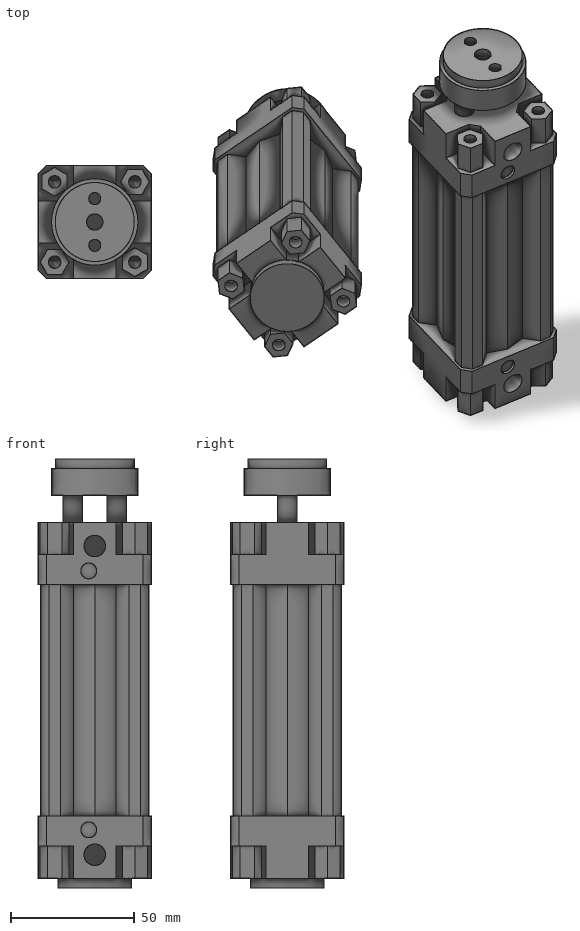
import cadquery as cq
import math

total_height = 174.0
boss_height = 4.0
head_height = 25.2
rod_exposed_length = 11.0
disc_height = 10.8
disc_rim_height = 4.0
head_top = total_height - disc_rim_height - disc_height - rod_exposed_length
middle_z = (boss_height + head_top) / 2

head_width = 46.0
head_chamfer = 3.5
boss_diameter = 30.0
cross_arm_width = 17.0
notch_depth = 13.0
notch_corner_chamfer = 3.5

nut_spacing = 32.5
nut_offset = nut_spacing / 2
nut_across_flats = 10.1
nut_across_corners = nut_across_flats / math.cos(math.pi / 6)
nut_hole_diameter = 5.0
nut_hole_depth = 8.7
drill_point_angle = 118.0

port_diameter = 8.7
port_depth = 13.0
port_inset = 9.5
screw_diameter = 6.5
screw_depth = 1.2
screw_inset = 19.7
screw_x = -2.5

barrel_half_width = 22.0
pillar_chamfer = 3.3
pillar_inner_edge = 14.0
valley_depth = 5.4
ridge_half_width = pillar_inner_edge - valley_depth
valley_distance = barrel_half_width - valley_depth
ridge_distance = 19.0

rod_diameter = 8.0
rod_spacing = 17.7
disc_diameter = 35.0
disc_rim_diameter = 32.0
disc_center_hole_diameter = 6.6
disc_side_hole_diameter = 4.9
disc_side_hole_spacing = 19.0
disc_hole_depth = disc_rim_height + disc_height / 2

quarter_turns = [0, 90, 180, 270]


def rotate_about_z(point, angle):
    """Turn a 2D point about the origin by an angle in degrees."""
    x, y = point
    turn = math.radians(angle)
    return (
        x * math.cos(turn) - y * math.sin(turn),
        x * math.sin(turn) + y * math.cos(turn),
    )


def make_barrel():
    """Barrel between the heads, one wall outline repeated on four sides."""
    pillar_outer_edge = barrel_half_width - pillar_chamfer
    wall_points = [
        (-pillar_outer_edge, -barrel_half_width),
        (-pillar_inner_edge, -barrel_half_width),
        (-ridge_half_width, -valley_distance),
        (0, -ridge_distance),
        (ridge_half_width, -valley_distance),
        (pillar_inner_edge, -barrel_half_width),
        (pillar_outer_edge, -barrel_half_width),
    ]
    outline = [rotate_about_z(p, angle) for angle in quarter_turns for p in wall_points]
    barrel_height = head_top - boss_height - 2 * head_height
    return (
        cq.Workplane("XY", origin=(0, 0, boss_height + head_height))
        .polyline(outline)
        .close()
        .extrude(barrel_height)
    )


def make_corner_notch():
    """Cutter for the notch in the +X +Y corner, with a chamfered inner corner."""
    inner = cross_arm_width / 2
    size = head_width / 2 - inner
    return (
        cq.Workplane("XY", origin=(inner, inner, head_top - notch_depth))
        .rect(size, size, centered=False)
        .extrude(notch_depth)
        .edges("|Z and <X and <Y")
        .chamfer(notch_corner_chamfer)
    )


def make_nut():
    """Hexagonal nut in the +X +Y corner, with corners pointing along X."""
    return (
        cq.Workplane("XY", origin=(nut_offset, nut_offset, head_top - notch_depth))
        .polygon(6, nut_across_corners)
        .extrude(notch_depth)
    )


def make_nut_hole():
    """Drilled hole with a conical bottom, centred on the +X +Y nut."""
    radius = nut_hole_diameter / 2
    point_height = radius / math.tan(math.radians(drill_point_angle / 2))
    return (
        cq.Workplane("XZ")
        .polyline([
            (0, 0),
            (radius, 0),
            (radius, -nut_hole_depth),
            (0, -nut_hole_depth - point_height),
        ])
        .close()
        .revolve(360, (0, 0, 0), (0, 1, 0))
        .translate((nut_offset, nut_offset, head_top))
    )


def make_front_hole(x, z, diameter, depth):
    """Cutter for a flat-bottomed hole running inward from the -Y face."""
    return (
        cq.Workplane("XZ", origin=(x, -head_width / 2, z))
        .circle(diameter / 2)
        .extrude(-depth)
    )


def make_upper_head():
    """Upper head with corner notches, nuts, port and screw recess."""
    head = (
        cq.Workplane("XY", origin=(0, 0, head_top - head_height))
        .rect(head_width, head_width)
        .extrude(head_height)
        .edges("|Z")
        .chamfer(head_chamfer)
    )
    origin = (0, 0, 0)
    z_axis_end = (0, 0, 1)
    for angle in quarter_turns:
        head = head.cut(make_corner_notch().rotate(origin, z_axis_end, angle))
        head = head.union(make_nut().rotate(origin, z_axis_end, angle))
        head = head.cut(make_nut_hole().rotate(origin, z_axis_end, angle))
    head = head.cut(make_front_hole(0, head_top - port_inset, port_diameter, port_depth))
    return head.cut(make_front_hole(screw_x, head_top - screw_inset, screw_diameter, screw_depth))


def make_housing():
    """Barrel with mirrored heads at both ends and a round boss at the bottom."""
    upper_head = make_upper_head()
    lower_head = upper_head.mirror("XY", (0, 0, middle_z))
    boss = cq.Workplane("XY").circle(boss_diameter / 2).extrude(boss_height)
    return make_barrel().union(upper_head).union(lower_head).union(boss)


def make_plunger():
    """Two rods standing on the upper head, carrying a stepped disc with three holes."""
    rods = (
        cq.Workplane("XY", origin=(0, 0, head_top))
        .pushPoints([(-rod_spacing / 2, 0), (rod_spacing / 2, 0)])
        .circle(rod_diameter / 2)
        .extrude(rod_exposed_length)
    )
    disc = (
        cq.Workplane("XY", origin=(0, 0, head_top + rod_exposed_length))
        .circle(disc_diameter / 2)
        .extrude(disc_height)
        .faces(">Z")
        .workplane()
        .circle(disc_rim_diameter / 2)
        .extrude(disc_rim_height)
    )
    disc = disc.faces(">Z").workplane().hole(disc_center_hole_diameter, disc_hole_depth)
    disc = (
        disc.faces(">Z")
        .workplane(origin=(0, 0, total_height))
        .pushPoints([(0, -disc_side_hole_spacing / 2), (0, disc_side_hole_spacing / 2)])
        .hole(disc_side_hole_diameter, disc_hole_depth)
    )
    return disc.union(rods)


housing = make_housing()
plunger = make_plunger()

result = cq.Compound.makeCompound([housing.val(), plunger.val()])